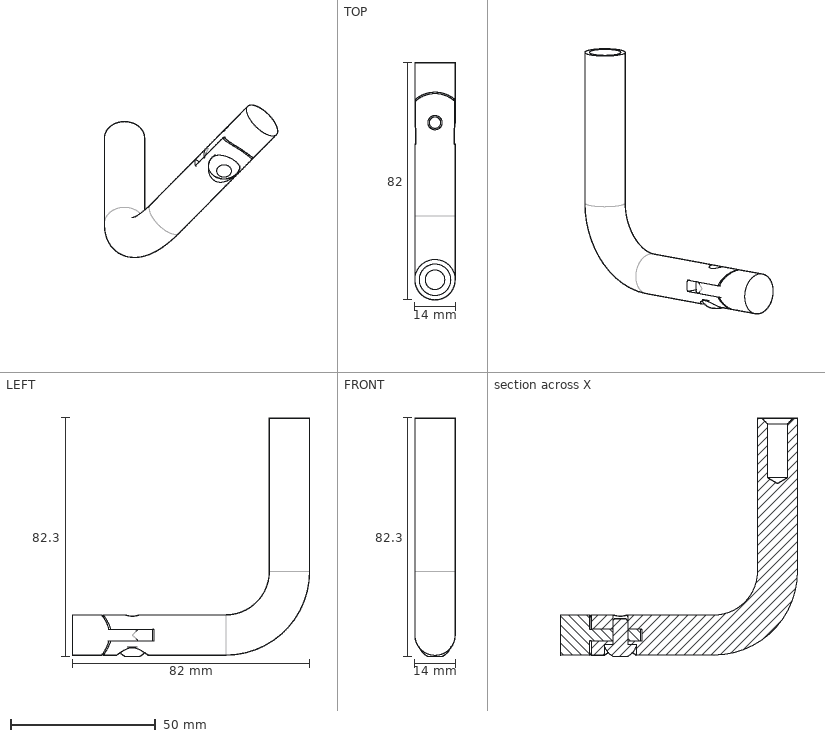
import cadquery as cq
import math

BAR_DIAMETER = 14.0
BAR_RADIUS = BAR_DIAMETER / 2
BEND_RADIUS = 22.0

TOTAL_LENGTH = 82.0
TOTAL_HEIGHT = 82.35
END_PIECE_REACH = 20.75
ARM_Y = -(TOTAL_LENGTH - END_PIECE_REACH - BAR_RADIUS)

SLOT_HEIGHT = 3.95
SLOT_REACH = 7.4
FORK_RADIUS = 10.05
SHOULDER_GAP = 0.5
SHOULDER_RADIUS = FORK_RADIUS + SHOULDER_GAP
TONGUE_RADIUS = BAR_RADIUS

PIN_RADIUS = 2.5
PIN_TOP_Z = 5.7
PIN_CHAMFER = 0.5
HEAD_RADIUS = 5.4
HEAD_SEAT_Z = -3.3
HEAD_PROTRUSION = 0.4
HEAD_BOTTOM_Z = -(BAR_RADIUS + HEAD_PROTRUSION)
DOME_RADIUS = 5.8
DOME_FLAT_RADIUS = 2.55
DOME_CENTRE_Z = HEAD_BOTTOM_Z + math.sqrt(DOME_RADIUS**2 - DOME_FLAT_RADIUS**2)

ARM_TOP_Z = TOTAL_HEIGHT + HEAD_BOTTOM_Z
BORE_RADIUS = 3.4
BORE_DEPTH = 20.6
BORE_TIP_DEPTH = 2.0
COUNTERSINK_RADIUS = 5.4
COUNTERSINK_DEPTH = COUNTERSINK_RADIUS - BORE_RADIUS


def upright_cylinder(radius, bottom, top):
    """Cylinder on the pivot axis between two heights."""
    return cq.Workplane("XY").workplane(offset=bottom).circle(radius).extrude(top - bottom)


def full_height_cylinder(radius):
    """Cylinder on the pivot axis that spans the bar from bottom to top."""
    return upright_cylinder(radius, -BAR_RADIUS, BAR_RADIUS)


def straight_bar(y_start, y_end):
    """Length of round bar along Y at the height of the pivot centre."""
    return cq.Workplane("XZ", origin=(0, y_start, 0)).circle(BAR_RADIUS).extrude(y_start - y_end)


def slot_layer(y_start, y_end):
    """Horizontal slab as high as the slot and as wide as the bar."""
    length = y_end - y_start
    middle_y = (y_start + y_end) / 2
    return cq.Workplane("XY", origin=(0, middle_y, 0)).box(BAR_DIAMETER, length, SLOT_HEIGHT)


def make_arm_bore():
    """Countersunk blind hole with a conical bottom, revolved about the arm axis."""
    bore_bottom = ARM_TOP_Z - BORE_DEPTH
    return (
        cq.Workplane("XZ", origin=(0, ARM_Y, 0))
        .moveTo(0, ARM_TOP_Z)
        .lineTo(COUNTERSINK_RADIUS, ARM_TOP_Z)
        .lineTo(BORE_RADIUS, ARM_TOP_Z - COUNTERSINK_DEPTH)
        .lineTo(BORE_RADIUS, bore_bottom)
        .lineTo(0, bore_bottom - BORE_TIP_DEPTH)
        .close()
        .revolve(360, (0, 0, 0), (0, 1, 0))
    )


def make_bent_bar():
    """Lower bar, quarter bend and vertical arm swept along one path."""
    bend_start_y = ARM_Y + BEND_RADIUS
    path = (
        cq.Workplane("YZ")
        .moveTo(FORK_RADIUS, 0)
        .lineTo(bend_start_y, 0)
        .tangentArcPoint((ARM_Y, BEND_RADIUS), relative=False)
        .lineTo(ARM_Y, ARM_TOP_Z)
    )
    return cq.Workplane("XZ", origin=(0, FORK_RADIUS, 0)).circle(BAR_RADIUS).sweep(path)


def make_handle():
    """Bent bar with a rounded fork end, a pin hole and a blind bore in the arm."""
    bar = make_bent_bar()
    fork_end_waste = straight_bar(0, FORK_RADIUS).cut(full_height_cylinder(FORK_RADIUS))
    pin_hole = full_height_cylinder(PIN_RADIUS)
    head_recess = upright_cylinder(HEAD_RADIUS, -BAR_RADIUS, HEAD_SEAT_Z)
    return (
        bar.cut(fork_end_waste)
        .cut(slot_layer(-SLOT_REACH, FORK_RADIUS))
        .cut(pin_hole)
        .cut(head_recess)
        .cut(make_arm_bore())
    )


def make_end_piece():
    """Bar end with a hollow shoulder around the fork and a round-ended tongue in its slot."""
    bar = straight_bar(-TONGUE_RADIUS, END_PIECE_REACH)
    fork_space = full_height_cylinder(SHOULDER_RADIUS).cut(slot_layer(-SHOULDER_RADIUS, SHOULDER_RADIUS))
    tongue_end_waste = straight_bar(-TONGUE_RADIUS, 0).cut(full_height_cylinder(TONGUE_RADIUS))
    return bar.cut(fork_space).cut(tongue_end_waste).cut(full_height_cylinder(PIN_RADIUS))


def make_pin():
    """Pivot pin with a chamfered tip and a flat-bottomed domed head below."""
    shank = upright_cylinder(PIN_RADIUS, HEAD_SEAT_Z, PIN_TOP_Z).faces(">Z").chamfer(PIN_CHAMFER)
    dome = cq.Workplane("XY").sphere(DOME_RADIUS).translate((0, 0, DOME_CENTRE_Z))
    head = upright_cylinder(HEAD_RADIUS, HEAD_BOTTOM_Z, HEAD_SEAT_Z).intersect(dome)
    return shank.union(head)


handle = make_handle().solids()
end_piece = make_end_piece().solids()
pin = make_pin().solids()

result = cq.Compound.makeCompound([handle.val(), end_piece.val(), pin.val()])